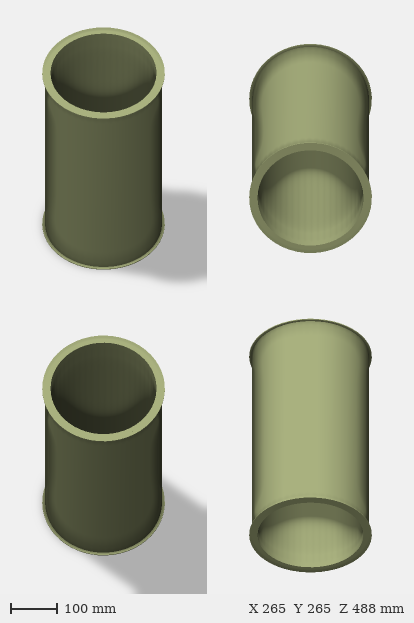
import cadquery as cq

length = 488.0
flange_diameter = 265.0
shell_diameter = 253.0
liner_diameter = 249.0
bore_diameter = 229.0

flange_thickness = (shell_diameter - liner_diameter) / 2


def make_tube(outer_diameter, inner_diameter, height, base_z=0.0):
    """Plain round tube along Z, standing on base_z."""
    return (
        cq.Workplane("XY", origin=(0, 0, base_z))
        .circle(outer_diameter / 2)
        .circle(inner_diameter / 2)
        .extrude(height)
    )


def make_shell():
    """Thin-walled outer shell with a flat flange at each end."""
    shell = make_tube(shell_diameter, liner_diameter, length)
    for base_z in (0.0, length - flange_thickness):
        shell = shell.union(make_tube(flange_diameter, liner_diameter, flange_thickness, base_z))
    return shell


def make_liner():
    """Thick inner liner that fills the shell from end to end."""
    return make_tube(liner_diameter, bore_diameter, length)


shell = make_shell()
liner = make_liner()

result = cq.Compound.makeCompound([shell.val(), liner.val()])